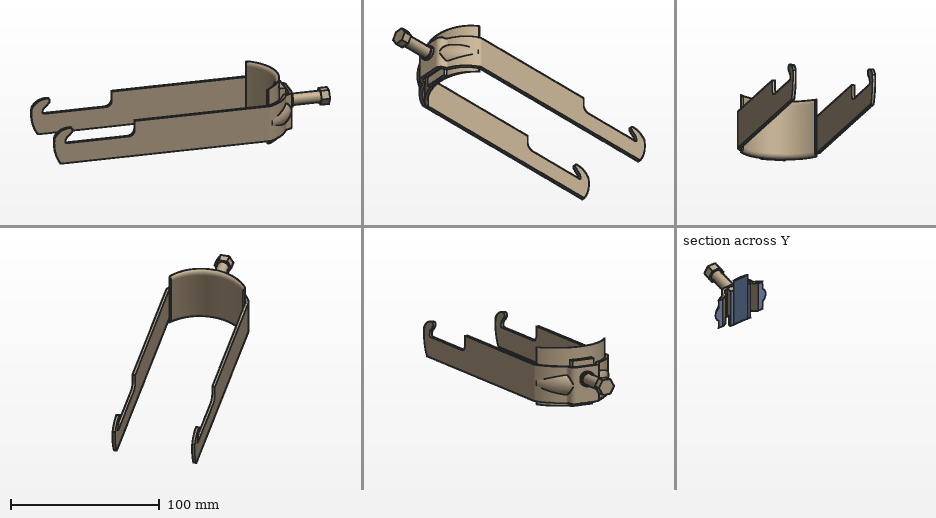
import cadquery as cq
import math


strap_half_span = 28.5
strap_width = 25.1
strap_thickness = 2.0
strap_half_width = strap_width / 2
bow_outer_radius = 31.3
bow_inner_radius = bow_outer_radius - strap_thickness
leg_inner_x = strap_half_span - strap_thickness
leg_end_y = -137.9
bend_inner_radius = 2.0
bend_outer_radius = bend_inner_radius + strap_thickness

bridge_half_width = 10.0
bridge_inner_half_width = 8.5
bridge_foot_x = 12.2
bridge_inner_foot_x = 10.5
bridge_top_y = 34.3
bridge_bottom_y = bridge_top_y - strap_thickness
bridge_bend_radius = 2.2
foot_bend_radius = 2.0

collar_diameter = 10.2
collar_height = 1.8

bead_top = (-9.2, 33.7)
bead_crest = (-19.5, 26.5)
bead_end = (-28.0, 14.4)
bead_cross_radius = 10.5

notch_wall_y = -81.5
notch_floor_z = 1.8
notch_corner_radius = 4.5
hook_throat_y = leg_end_y + 7.8
hook_throat_radius = 1.2
hook_lip_y = leg_end_y + 10.4
hook_lip_z = 7.4
hook_tip_y = leg_end_y + 12.4
hook_tip_low_z = 9.5
hook_tip_side_z = 11.2
hook_tip_side_y = leg_end_y + 12.8
hook_crown_y = leg_end_y + 10.2
hook_crown_radius = 10.5
hook_nose_radius = 27.7
hook_nose_z = 2.4
hook_shoulder_z = 6.5

screw_z = 4.0
screw_diameter = 8.0
head_across_flats = 10.2
head_height = 5.8
head_top_y = 61.6

saddle_bottom_z = -15.5
saddle_height = 40.0
saddle_outer_radius = 32.0
saddle_inner_radius = 32.5
saddle_back_y = 26.3
saddle_front_y = 23.1
saddle_end_y = 11.8
saddle_width = 52.3
saddle_rim_radius = 3.0

pad_width = 16.2
pad_back_y = 29.7
pad_half_height = 12.2
pad_lip_back_y = 27.7


def arc_height(radius, x):
    """Height at x of a circle of the given radius about the origin."""
    return math.sqrt(radius ** 2 - x ** 2)


def across_screw(plane_y):
    """Workplane facing +Y with local x along +X and its origin on the screw axis."""
    return cq.Workplane(cq.Plane(origin=(0, plane_y, screw_z), xDir=(1, 0, 0), normal=(0, 1, 0)))


def bow_side_edges(body, x, y):
    """The pair of edges along Z at (+-x, y)."""
    reach = 0.1
    found = []
    for side in (-1, 1):
        box = cq.selectors.BoxSelector(
            (side * x - reach, y - reach, -strap_width), (side * x + reach, y + reach, strap_width)
        )
        found += body.edges("|Z").edges(box).vals()
    return body.newObject(found)


def make_strip():
    """The bent strip, with full-width legs."""
    leg_outer_top = arc_height(bow_outer_radius, strap_half_span)
    leg_inner_top = arc_height(bow_inner_radius, leg_inner_x)
    foot_outer_y = arc_height(bow_outer_radius, bridge_foot_x)
    foot_inner_y = arc_height(bow_inner_radius, bridge_inner_foot_x)
    bow_mid_x = (strap_half_span + bridge_foot_x) / 2
    outer_mid_y = arc_height(bow_outer_radius, bow_mid_x)
    inner_mid_y = arc_height(bow_inner_radius, bow_mid_x)
    strip = (
        cq.Workplane("XY", origin=(0, 0, -strap_half_width))
        .moveTo(-strap_half_span, leg_end_y)
        .lineTo(-strap_half_span, leg_outer_top)
        .threePointArc((-bow_mid_x, outer_mid_y), (-bridge_foot_x, foot_outer_y))
        .lineTo(-bridge_half_width, bridge_top_y)
        .lineTo(bridge_half_width, bridge_top_y)
        .lineTo(bridge_foot_x, foot_outer_y)
        .threePointArc((bow_mid_x, outer_mid_y), (strap_half_span, leg_outer_top))
        .lineTo(strap_half_span, leg_end_y)
        .lineTo(leg_inner_x, leg_end_y)
        .lineTo(leg_inner_x, leg_inner_top)
        .threePointArc((bow_mid_x, inner_mid_y), (bridge_inner_foot_x, foot_inner_y))
        .lineTo(bridge_inner_half_width, bridge_bottom_y)
        .lineTo(-bridge_inner_half_width, bridge_bottom_y)
        .lineTo(-bridge_inner_foot_x, foot_inner_y)
        .threePointArc((-bow_mid_x, inner_mid_y), (-leg_inner_x, leg_inner_top))
        .lineTo(-leg_inner_x, leg_end_y)
        .close()
        .extrude(strap_width)
    )
    bends = [
        (strap_half_span, leg_outer_top, bend_outer_radius),
        (leg_inner_x, leg_inner_top, bend_inner_radius),
        (bridge_half_width, bridge_top_y, bridge_bend_radius + strap_thickness),
        (bridge_inner_half_width, bridge_bottom_y, bridge_bend_radius),
        (bridge_foot_x, foot_outer_y, foot_bend_radius),
        (bridge_inner_foot_x, foot_inner_y, foot_bend_radius + strap_thickness),
    ]
    for x, y, radius in bends:
        strip = bow_side_edges(strip, x, y).fillet(radius)
    return strip


def make_leg_outline():
    """Side outline of the strap, with the notch and the hook, as a prism across X."""
    nose_back = hook_nose_radius - arc_height(hook_nose_radius, hook_shoulder_z - hook_nose_z)
    heel_back = hook_nose_radius - arc_height(hook_nose_radius, strap_half_width + hook_nose_z)
    crown_mid_y = (hook_crown_y + leg_end_y) / 2
    crown_mid_z = (
        strap_half_width - hook_crown_radius + arc_height(hook_crown_radius, hook_crown_y - crown_mid_y)
    )
    return (
        cq.Workplane("YZ", origin=(-strap_half_span, 0, 0))
        .moveTo(head_top_y, -strap_half_width)
        .lineTo(head_top_y, strap_half_width)
        .lineTo(notch_wall_y, strap_half_width)
        .lineTo(notch_wall_y, notch_floor_z + notch_corner_radius)
        .radiusArc((notch_wall_y - notch_corner_radius, notch_floor_z), notch_corner_radius)
        .lineTo(hook_throat_y + hook_throat_radius, notch_floor_z)
        .radiusArc((hook_throat_y, notch_floor_z + hook_throat_radius), hook_throat_radius)
        .tangentArcPoint((hook_lip_y, hook_lip_z), relative=False)
        .lineTo(hook_tip_y, hook_tip_low_z)
        .threePointArc((hook_tip_side_y, hook_tip_side_z), (hook_crown_y, strap_half_width))
        .threePointArc((crown_mid_y, crown_mid_z), (leg_end_y + nose_back, hook_shoulder_z))
        .threePointArc((leg_end_y, hook_nose_z), (leg_end_y + heel_back, -strap_half_width))
        .close()
        .extrude(2 * strap_half_span)
    )


def make_bead():
    """Left stiffening bead: an arc turned about a line parallel to its chord."""
    chord_x = bead_end[0] - bead_top[0]
    chord_y = bead_end[1] - bead_top[1]
    chord = math.hypot(chord_x, chord_y)
    outward = (chord_y / chord, -chord_x / chord)
    crest_rise = sum((c - t) * n for c, t, n in zip(bead_crest, bead_top, outward))
    depth = bead_cross_radius - crest_rise
    axis_top = (bead_top[0] - depth * outward[0], bead_top[1] - depth * outward[1])
    axis_end = (bead_end[0] - depth * outward[0], bead_end[1] - depth * outward[1])
    turned = (
        cq.Workplane("XY")
        .moveTo(*axis_top)
        .lineTo(*bead_top)
        .threePointArc(bead_crest, bead_end)
        .lineTo(*axis_end)
        .close()
        .revolve(360, axis_top, axis_end)
    )
    middle_radius = bow_outer_radius - strap_thickness / 2
    top_x = (bridge_half_width + bridge_inner_half_width) / 2
    foot_x = (bridge_foot_x + bridge_inner_foot_x) / 2
    above_strap = (
        cq.Workplane("XY", origin=(0, 0, -strap_half_width))
        .moveTo(-top_x, bridge_top_y)
        .lineTo(-foot_x, arc_height(middle_radius, foot_x))
        .radiusArc((-leg_inner_x, arc_height(middle_radius, leg_inner_x)), -middle_radius)
        .lineTo(-strap_half_span, arc_height(middle_radius, leg_inner_x))
        .lineTo(-strap_half_span, bridge_top_y)
        .close()
        .extrude(strap_width)
    )
    return turned.intersect(above_strap)


def make_strap():
    """Bent strip with its hooks, threaded collar, pair of beads and screw hole."""
    collar = across_screw(bridge_top_y).circle(collar_diameter / 2).extrude(collar_height)
    hole = across_screw(0).circle(screw_diameter / 2).extrude(head_top_y)
    bead = make_bead()
    strap = make_strip().intersect(make_leg_outline())
    strap = strap.union(collar).union(bead).union(bead.mirror("YZ"))
    return strap.cut(hole)


def make_screw():
    """Hexagon-headed screw whose end bears on the pad."""
    head_bottom_y = head_top_y - head_height
    across_corners = head_across_flats / math.cos(math.pi / 6)
    head = across_screw(head_bottom_y).polygon(6, across_corners).extrude(head_height)
    shank = across_screw(pad_back_y).circle(screw_diameter / 2).extrude(head_bottom_y - pad_back_y)
    return head.union(shank)


def saddle_cylinder(apex_y, radius):
    """Upright cylinder as tall as the saddle, centred on X = 0 with its crest at apex_y."""
    base = cq.Workplane("XY", origin=(0, apex_y - radius, saddle_bottom_z))
    return base.circle(radius).extrude(saddle_height)


def make_saddle():
    """Curved plate with both ends cut square and its two long inner edges rounded."""
    block = (
        cq.Workplane("XY", origin=(0, saddle_end_y, saddle_bottom_z))
        .box(saddle_width, saddle_back_y - saddle_end_y, saddle_height, centered=(True, False, False))
    )
    hollowed = block.cut(saddle_cylinder(saddle_front_y, saddle_inner_radius))
    rounded = hollowed.faces("|Z").edges("%CIRCLE").fillet(saddle_rim_radius)
    return rounded.intersect(saddle_cylinder(saddle_back_y, saddle_outer_radius))


def make_pad():
    """Pad behind the saddle, with a thinner lip reaching down to the saddle's lower edge."""
    pad_bottom_z = screw_z - pad_half_height
    lip_height = pad_bottom_z - saddle_bottom_z
    block = (
        cq.Workplane("XY", origin=(0, 0, pad_bottom_z))
        .box(pad_width, pad_back_y, 2 * pad_half_height, centered=(True, False, False))
    )
    lip = (
        cq.Workplane("XY", origin=(0, 0, saddle_bottom_z))
        .box(pad_width, pad_lip_back_y, lip_height, centered=(True, False, False))
    )
    return block.union(lip).cut(saddle_cylinder(saddle_back_y, saddle_outer_radius))


strap = make_strap()
screw = make_screw()
saddle = make_saddle()
pad = make_pad()

result = cq.Compound.makeCompound([strap.val(), screw.val(), saddle.val(), pad.val()])